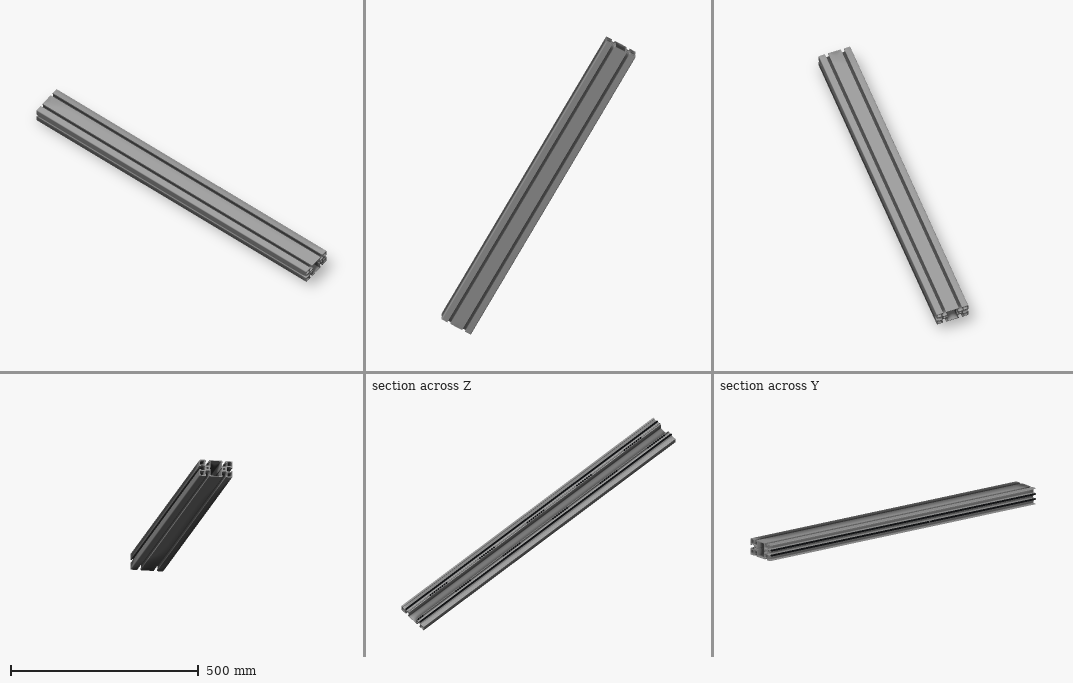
import cadquery as cq

LENGTH = 900.0
MODULE = 45.0
HALF_MODULE = MODULE / 2
WIDTH = 2 * MODULE
CORNER_RADIUS = 3.0
WALL = 1.9

SLOT_OPENING = 9.0
SLOT_WIDTH = 13.5
SLOT_FLOOR_HEIGHT = 7.0
LIP_THICKNESS = 4.95
LIP_CHAMFER = 1.0
FLOOR_CHAMFER = 2.25
FLOOR_GROOVE_WIDTH = 2.0
FLOOR_GROOVE_DEPTH = 0.45

CORE_HOLE_DIAMETER = 6.75

CAVITY_WIDTH = 29.0
CAVITY_HEIGHT = MODULE - 2 * WALL
CAVITY_RADIUS = 1.35
CAVITY_GROOVE_WIDTH = 4.5
CAVITY_GROOVE_DEPTH = 2.25

CORNER_CAVITY_START = 8.7
CORNER_CAVITY_END = HALF_MODULE - WALL
CORNER_CAVITY_RADIUS = 1.0
CORNER_CAVITY_OUTER_RADIUS = 4.95


def section():
    """Workplane on the -X end, with local x along +Y and local y along +Z."""
    return cq.Workplane("YZ", origin=(-LENGTH / 2, 0, 0))


def bar(width, height):
    """Rectangular bar of full length on the X axis."""
    return section().rect(width, height).extrude(LENGTH)


def mirrored_across_xz(half):
    """Join a body with its mirror image on the other side of the XZ plane."""
    return half.union(half.mirror("XZ"))


def t_slot():
    """Cutter for a T-slot opening towards +Z in a module on the X axis."""
    surface = HALF_MODULE
    floor = SLOT_FLOOR_HEIGHT
    lip_underside = surface - LIP_THICKNESS
    half_profile = [
        (0, surface),
        (SLOT_OPENING / 2, surface),
        (SLOT_OPENING / 2, lip_underside + LIP_CHAMFER),
        (SLOT_OPENING / 2 + LIP_CHAMFER, lip_underside),
        (SLOT_WIDTH / 2, lip_underside),
        (SLOT_WIDTH / 2, floor + FLOOR_CHAMFER),
        (SLOT_WIDTH / 2 - FLOOR_CHAMFER, floor),
        (FLOOR_GROOVE_WIDTH / 2, floor),
        (0, floor - FLOOR_GROOVE_DEPTH),
    ]
    return mirrored_across_xz(section().polyline(half_profile).close().extrude(LENGTH))


def centre_cavity():
    """Cutter for the middle cavity and the square-edged groove along each of its side walls."""
    cavity = bar(CAVITY_WIDTH, CAVITY_HEIGHT).edges("|X").fillet(CAVITY_RADIUS)
    grooves = bar(CAVITY_WIDTH + 2 * CAVITY_GROOVE_DEPTH, CAVITY_GROOVE_WIDTH)
    return cavity.union(grooves)


def corner_cavities():
    """Cutter for the four corner cavities, each with a larger radius at its outermost corner."""
    size = CORNER_CAVITY_END - CORNER_CAVITY_START
    centre = (CORNER_CAVITY_START + CORNER_CAVITY_END) / 2
    block = bar(size, size).edges("|X").fillet(CORNER_CAVITY_RADIUS)
    rounded = bar(size, size).edges("|X").fillet(CORNER_CAVITY_OUTER_RADIUS)
    outer_quarter = bar(size, size).translate((0, size / 2, size / 2))
    cavity = block.cut(outer_quarter).union(rounded.intersect(outer_quarter))
    cavity = cavity.translate((0, HALF_MODULE + centre, centre))
    pair = mirrored_across_xz(cavity)
    return pair.union(pair.mirror("XY"))


profile = bar(WIDTH, MODULE).edges("|X").fillet(CORNER_RADIUS)
profile = profile.cut(centre_cavity())
profile = profile.cut(corner_cavities())

core_hole = section().circle(CORE_HOLE_DIAMETER / 2).extrude(LENGTH)
for side in (-1, 1):
    module_y = side * HALF_MODULE
    for turn in (0, 180, -90 * side):
        slot = t_slot().rotate((0, 0, 0), (1, 0, 0), turn)
        profile = profile.cut(slot.translate((0, module_y, 0)))
    profile = profile.cut(core_hole.translate((0, module_y, 0)))

result = profile